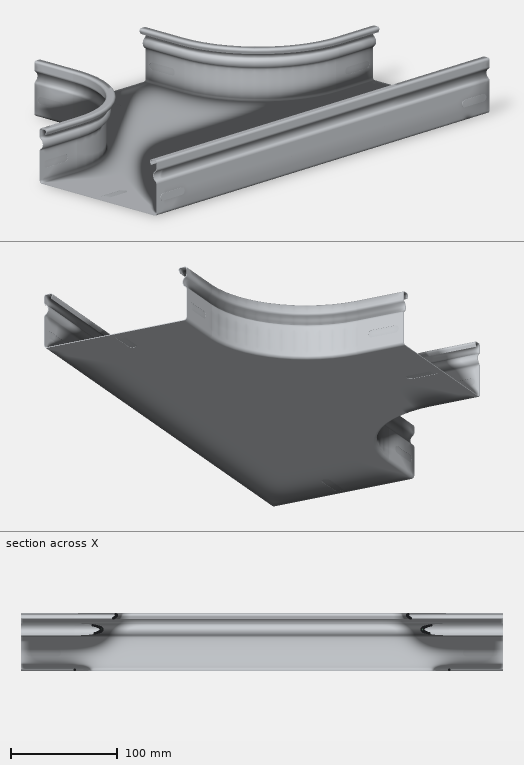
import cadquery as cq
import math

sheet = 0.68
run_length = 451.0
channel_width = 151.5
straight_length = 50.0
height = 54.0

run_half_length = run_length / 2
branch_half_width = channel_width / 2
corner_reach = run_half_length - branch_half_width
curve_radius = corner_reach - straight_length
back_face_x = corner_reach + channel_width

base_bend = 2.5
bead_centre_z = 39.0
bead_height = 14.5
bead_depth = 4.0
bead_root_bend = 2.5
lip_bend = 2.0
lip_width = 9.0
lip_curl = 25.0
lip_tail = 2.5

slot_length = 32.5
slot_end_margin = 5.0
wall_slot_width = 7.0
wall_slot_z = 17.0
floor_slot_width = 8.5
slot_recess = 0.23
back_pad_height = 0.5

slot_offset = slot_end_margin + slot_length / 2
floor_inset = base_bend + sheet / 2


def wall_path():
    """Middle line of the wall section: ("line", length) or ("bend", radius, left-hand degrees)."""
    bead_half = bead_height / 2
    bead_angle = 2 * math.degrees(math.atan(bead_depth / bead_half))
    bead_bend = bead_half / math.sin(math.radians(bead_angle)) - bead_root_bend
    bead_bottom = bead_centre_z - bead_half
    bead_top = bead_centre_z + bead_half
    return [
        ("bend", base_bend, -90),
        ("line", bead_bottom - floor_inset),
        ("bend", bead_root_bend, -bead_angle),
        ("bend", bead_bend, 2 * bead_angle),
        ("bend", bead_root_bend, -bead_angle),
        ("line", height - sheet / 2 - lip_bend - bead_top),
        ("bend", lip_bend, -90),
        ("line", lip_width - sheet - 2 * lip_bend),
        ("bend", lip_bend, -90 - lip_curl),
        ("line", lip_tail),
    ]


def step_along(point, heading, distance):
    return (point[0] + distance * math.cos(heading), point[1] + distance * math.sin(heading))


def sheet_edge(path, side):
    """One face of the bent sheet as (start, [(mid or None, end), ...]); side is +1 left, -1 right."""
    point = (floor_inset, sheet / 2)
    heading = math.pi

    def face_point(at, direction):
        return step_along(at, direction + math.pi / 2, side * sheet / 2)

    start = face_point(point, heading)
    pieces = []
    for kind, size, *turn in path:
        mid = None
        if kind == "line":
            point = step_along(point, heading, size)
        else:
            angle = math.radians(turn[0])
            signed_radius = math.copysign(size, angle)
            centre = step_along(point, heading + math.pi / 2, signed_radius)
            half_way = heading + angle / 2
            mid = face_point(step_along(centre, half_way - math.pi / 2, signed_radius), half_way)
            heading += angle
            point = step_along(centre, heading - math.pi / 2, signed_radius)
        pieces.append((mid, face_point(point, heading)))
    return start, pieces


def wall_section(plane):
    """Closed wall section; the plane's x points into the tray and its y points up."""
    path = wall_path()
    left_start, left_pieces = sheet_edge(path, 1)
    right_start, right_pieces = sheet_edge(path, -1)

    section = cq.Workplane(plane).moveTo(*left_start)
    for mid, end in left_pieces:
        section = section.threePointArc(mid, end) if mid else section.lineTo(*end)

    section = section.lineTo(*right_pieces[-1][1])
    right_starts = [right_start] + [end for _, end in right_pieces[:-1]]
    for (mid, _), back_to in zip(reversed(right_pieces), reversed(right_starts)):
        section = section.threePointArc(mid, back_to) if mid else section.lineTo(*back_to)
    return section.close()


def corner_wall():
    """Wall on the -Y side: straight along the branch, a quarter turn, straight along the run."""
    branch_plane = cq.Plane((0, -branch_half_width, 0), xDir=(0, 1, 0), normal=(1, 0, 0))
    turn_plane = cq.Plane(
        (straight_length, -branch_half_width, 0), xDir=(0, 1, 0), normal=(1, 0, 0)
    )
    run_plane = cq.Plane((corner_reach, -run_half_length, 0), xDir=(1, 0, 0), normal=(0, -1, 0))
    branch = wall_section(branch_plane).extrude(straight_length)
    turn = wall_section(turn_plane).revolve(90, (-curve_radius, 4.5, 0), (-curve_radius, 0, 0))
    run = wall_section(run_plane).extrude(-straight_length)
    return branch.union(turn).union(run)


def back_wall():
    plane = cq.Plane((back_face_x, run_half_length, 0), xDir=(-1, 0, 0), normal=(0, 1, 0))
    return wall_section(plane).extrude(-run_length)


def floor():
    """Flat floor up to the start of the wall bends."""
    radius = curve_radius + floor_inset
    diagonal = radius * math.sqrt(0.5)
    centre_y = branch_half_width + curve_radius
    branch_y = branch_half_width - floor_inset
    run_x = corner_reach + floor_inset
    back_x = back_face_x - floor_inset
    return (
        cq.Workplane("XY")
        .moveTo(0, -branch_y)
        .lineTo(straight_length, -branch_y)
        .threePointArc((straight_length + diagonal, -centre_y + diagonal), (run_x, -centre_y))
        .lineTo(run_x, -run_half_length)
        .lineTo(back_x, -run_half_length)
        .lineTo(back_x, run_half_length)
        .lineTo(run_x, run_half_length)
        .lineTo(run_x, centre_y)
        .threePointArc((straight_length + diagonal, centre_y - diagonal), (straight_length, branch_y))
        .lineTo(0, branch_y)
        .close()
        .extrude(sheet)
    )


def slot_block(centre, along, normal, width, depth):
    """Slot shape standing on `centre`, raised by `depth` along `normal`."""
    plane = cq.Plane(centre, xDir=along, normal=normal)
    return cq.Workplane(plane).slot2D(slot_length, width).extrude(depth)


def marked_both_faces(body, centre, along, normal, width):
    """Recess a slot mark into both sheet faces; `centre` is on the face that `normal` leaves."""
    near = cq.Vector(*centre)
    direction = cq.Vector(*normal)
    far = near - direction * sheet
    body = body.cut(slot_block(near, along, normal, width, -slot_recess))
    return body.cut(slot_block(far, along, normal, width, slot_recess))


X_AXIS = (1, 0, 0)
Y_AXIS = (0, 1, 0)
Z_AXIS = (0, 0, 1)

near_corner = corner_wall()
tee = floor().union(back_wall()).union(near_corner).union(near_corner.mirror("XZ"))

tee = marked_both_faces(tee, (slot_offset, 0, sheet), X_AXIS, Z_AXIS, floor_slot_width)

for end in (-1, 1):
    slot_y = end * (run_half_length - slot_offset)

    run_centre = (corner_reach + channel_width / 2, slot_y, sheet)
    tee = marked_both_faces(tee, run_centre, Y_AXIS, Z_AXIS, floor_slot_width)

    run_mark = (corner_reach, slot_y, wall_slot_z)
    tee = marked_both_faces(tee, run_mark, Y_AXIS, (-1, 0, 0), wall_slot_width)

    branch_mark = (slot_offset, end * branch_half_width, wall_slot_z)
    tee = marked_both_faces(tee, branch_mark, X_AXIS, (0, end, 0), wall_slot_width)

    back_inner = (back_face_x - sheet, slot_y, wall_slot_z)
    back_outer = (back_face_x, slot_y, wall_slot_z)
    tee = tee.cut(slot_block(back_inner, Y_AXIS, X_AXIS, wall_slot_width, slot_recess))
    tee = tee.union(slot_block(back_outer, Y_AXIS, X_AXIS, wall_slot_width, back_pad_height))

result = tee